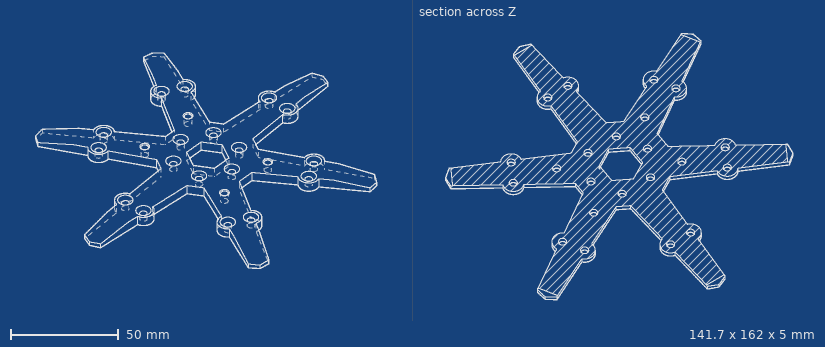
import cadquery as cq
import math

thickness = 5.0
hub_shift = 1.0
hub_across_flats = 47.3
window_across_flats = 17.3

arm_count = 6
arm_reach = 81.0
tip_height = 2.1
root_half_width = 10.0
tip_half_width = 5.0
ramp_start = 61.7
ramp_end_thickness = 2.1
shoulder_reach = arm_reach - tip_height

screw_diameter = 3.5
countersink_diameter = 7.1
countersink_angle = 90
hub_screw_radius = 16.0
arm_screw_reach = 49.9
arm_screw_offset = 5.7
boss_diameter = 10.0

mount_diameter = 3.5
mount_rim_diameter = 4.5
mount_x = 25.0
mount_y = 15.0

arm_step = 360 / arm_count
arm_screw_points = [(side * arm_screw_offset, arm_screw_reach) for side in (-1, 1)]


def hexagon(across_flats):
    """Hexagonal prism with flats facing +X and -X, centred on the shifted hub."""
    corner_diameter = across_flats / math.cos(math.pi / 6)
    prism = cq.Workplane("XY").polygon(6, corner_diameter).extrude(thickness)
    return prism.rotate((0, 0, 0), (0, 0, 1), 30).translate((hub_shift, 0, 0))


def ramp_cutter():
    """Wedge that removes the top of an arm from the ramp start to the tip."""
    return (
        cq.Workplane("YZ")
        .moveTo(ramp_start, thickness)
        .lineTo(arm_reach, ramp_end_thickness)
        .lineTo(arm_reach, thickness)
        .close()
        .extrude(root_half_width, both=True)
    )


def arm():
    """Tapered arm with a pointed, sloping end and two screw bosses."""
    blade = (
        cq.Workplane("XY")
        .moveTo(-root_half_width, 0)
        .lineTo(-tip_half_width, shoulder_reach)
        .lineTo(0, arm_reach)
        .lineTo(tip_half_width, shoulder_reach)
        .lineTo(root_half_width, 0)
        .close()
        .extrude(thickness)
        .cut(ramp_cutter())
    )
    bosses = cq.Workplane("XY").pushPoints(arm_screw_points).circle(boss_diameter / 2).extrude(thickness)
    return blade.union(bosses)


def turned(point, angle):
    """Point turned about the origin by an angle in degrees."""
    x, y = point
    c = math.cos(math.radians(angle))
    s = math.sin(math.radians(angle))
    return (x * c - y * s, x * s + y * c)


def countersink(plate, points, hole_diameter, mouth_diameter):
    """Plate with countersunk through holes drilled from its top face."""
    top = cq.Workplane("XY").workplane(offset=thickness).add(plate)
    return top.pushPoints(points).cskHole(hole_diameter, mouth_diameter, countersink_angle)


arm_angles = [index * arm_step for index in range(arm_count)]
body = hexagon(hub_across_flats)
for angle in arm_angles:
    body = body.union(arm().rotate((0, 0, 0), (0, 0, 1), angle))
body = body.cut(hexagon(window_across_flats))

screw_points = [turned((hub_screw_radius, 0), angle) for angle in arm_angles]
for angle in arm_angles:
    screw_points += [turned(point, angle) for point in arm_screw_points]
body = countersink(body, screw_points, screw_diameter, countersink_diameter)

mount_points = [(x, y) for x in (-mount_x, mount_x) for y in (-mount_y, mount_y)]
result = countersink(body, mount_points, mount_diameter, mount_rim_diameter)